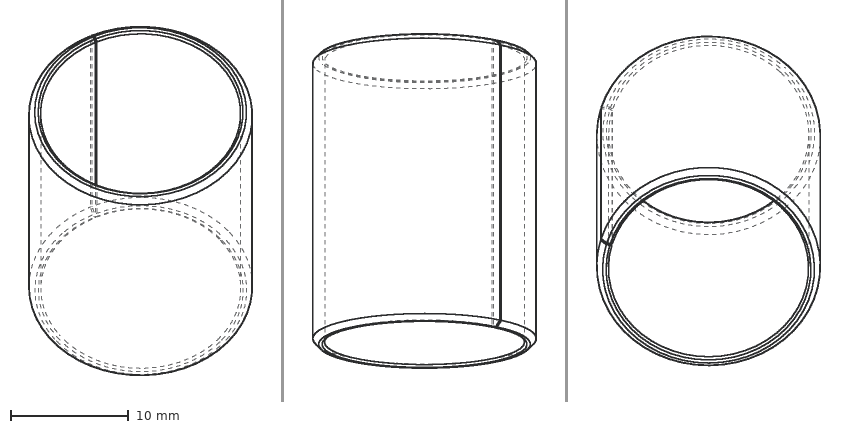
import cadquery as cq

outer_diameter = 19.0
wall_thickness = 1.0
length = 25.0
outer_chamfer = 0.5
inner_chamfer = 0.2
seam_angle = 1.0

outer_radius = outer_diameter / 2
inner_radius = outer_radius - wall_thickness
half_length = length / 2


def make_wall_section():
    """Wall cross-section on the -X side, with both rims chamfered inside and out."""
    outer_rim_radius = outer_radius - outer_chamfer
    inner_rim_radius = inner_radius + inner_chamfer
    return (
        cq.Workplane("XZ")
        .moveTo(-outer_radius, -half_length + outer_chamfer)
        .lineTo(-outer_radius, half_length - outer_chamfer)
        .lineTo(-outer_rim_radius, half_length)
        .lineTo(-inner_rim_radius, half_length)
        .lineTo(-inner_radius, half_length - inner_chamfer)
        .lineTo(-inner_radius, -half_length + inner_chamfer)
        .lineTo(-inner_rim_radius, -half_length)
        .lineTo(-outer_rim_radius, -half_length)
        .close()
    )


def make_split_sleeve():
    """Sweep the section around Z from -X by way of -Y, stopping short to leave the open seam."""
    return make_wall_section().revolve(360 - seam_angle, (0, 0, 0), (0, 1, 0))


result = make_split_sleeve()